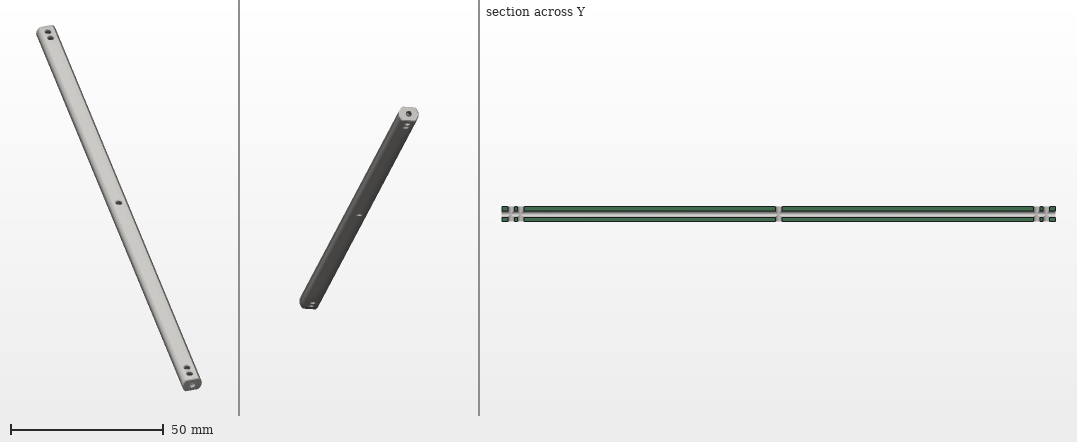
import cadquery as cq
import math

LENGTH = 181.25
BAR_DIAMETER = 6.6
FLAT_TO_FLAT = 5.0
BORE_DIAMETER = 2.0
CROSS_HOLE_DIAMETER = 2.0
COUNTERSINK_DEPTH = 0.3
OUTER_HOLE_INSET = 3.125
HOLE_PITCH = 3.125
END_CHAMFER = 0.3

COUNTERSINK_DIAMETER = CROSS_HOLE_DIAMETER + 2 * COUNTERSINK_DEPTH
HALF_LENGTH = LENGTH / 2


def flatted_bar():
    """Round bar along X with flats on top and bottom, chamfered around both ends."""
    radius = BAR_DIAMETER / 2
    half_height = FLAT_TO_FLAT / 2
    half_flat = math.sqrt(radius**2 - half_height**2)
    return (
        cq.Workplane("YZ", origin=(-HALF_LENGTH, 0, 0))
        .moveTo(-half_flat, half_height)
        .lineTo(half_flat, half_height)
        .threePointArc((radius, 0), (half_flat, -half_height))
        .lineTo(-half_flat, -half_height)
        .threePointArc((-radius, 0), (-half_flat, half_height))
        .close()
        .extrude(LENGTH)
        .faces("|X")
        .chamfer(END_CHAMFER)
    )


def axial_bore():
    """Cutter for the bore that runs the full length of the bar."""
    return cq.Workplane("YZ").circle(BORE_DIAMETER / 2).extrude(HALF_LENGTH, both=True)


def cross_hole():
    """Cutter for one vertical through hole with a countersink in the top flat."""
    top = FLAT_TO_FLAT / 2
    hole = cq.Workplane("XY").circle(CROSS_HOLE_DIAMETER / 2).extrude(FLAT_TO_FLAT, both=True)
    countersink = (
        cq.Workplane("XY", origin=(0, 0, top))
        .circle(COUNTERSINK_DIAMETER / 2)
        .workplane(offset=-COUNTERSINK_DEPTH)
        .circle(CROSS_HOLE_DIAMETER / 2)
        .loft()
    )
    return hole.union(countersink)


result = flatted_bar().cut(axial_bore())

outer_x = HALF_LENGTH - OUTER_HOLE_INSET
inner_x = outer_x - HOLE_PITCH
for hole_x in (-outer_x, -inner_x, 0, inner_x, outer_x):
    result = result.cut(cross_hole().translate((hole_x, 0, 0)))